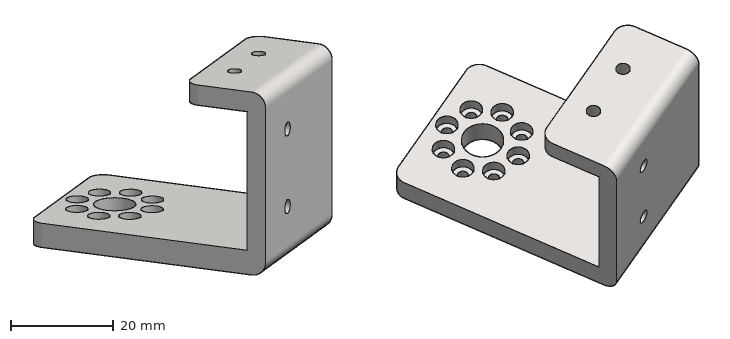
import cadquery as cq

length = 50.5
width = 33.4
height = 37.7

base_thickness = 5.0
wall_thickness = 4.0
flange_thickness = 4.2
flange_length = 17.25
corner_radius = 3.0
bend_radius = 3.0

ring_x = 11.25
opening_diameter = 8.3
ring_radius = 8.0
ring_hole_count = 8
ring_hole_diameter = 2.2
counterbore_diameter = 4.4
counterbore_depth = 2.3

screw_diameter = 2.8
flange_hole_x = 39.25
flange_hole_ys = (6.3, -5.7)
wall_hole_y = -5.7
wall_hole_zs = (11.2, 27.2)

wall_inner_x = length - wall_thickness
flange_bottom_z = height - flange_thickness
flange_start_x = length - flange_length


def make_bracket():
    """C-shaped profile extruded across the width, centred on Y = 0."""
    profile = [
        (0, 0),
        (length, 0),
        (length, height),
        (flange_start_x, height),
        (flange_start_x, flange_bottom_z),
        (wall_inner_x, flange_bottom_z),
        (wall_inner_x, base_thickness),
        (0, base_thickness),
    ]
    body = cq.Workplane("XZ").polyline(profile).close().extrude(width / 2, both=True)
    body = body.edges("|Y and >X").fillet(bend_radius)
    free_corners = cq.selectors.BoxSelector(
        (-length, -width, -height),
        (flange_start_x + corner_radius, width, height),
    )
    return body.edges("|Z").edges(free_corners).fillet(corner_radius)


def base_cutters():
    """Central opening and its ring of holes, counterbored from above."""
    base = cq.Workplane("XY").center(ring_x, 0)
    opening = base.circle(opening_diameter / 2).extrude(base_thickness)
    ring = base.polarArray(ring_radius, 0, 360, ring_hole_count)
    holes = ring.circle(ring_hole_diameter / 2).extrude(base_thickness)
    counterbores = (
        base.workplane(offset=base_thickness - counterbore_depth)
        .polarArray(ring_radius, 0, 360, ring_hole_count)
        .circle(counterbore_diameter / 2)
        .extrude(counterbore_depth)
    )
    return opening.union(holes).union(counterbores)


def flange_cutters():
    """Vertical screw holes through the top flange."""
    return (
        cq.Workplane("XY", origin=(0, 0, flange_bottom_z))
        .pushPoints([(flange_hole_x, y) for y in flange_hole_ys])
        .circle(screw_diameter / 2)
        .extrude(flange_thickness)
    )


def wall_cutters():
    """Horizontal screw holes through the upright wall."""
    return (
        cq.Workplane("YZ", origin=(wall_inner_x, 0, 0))
        .pushPoints([(wall_hole_y, z) for z in wall_hole_zs])
        .circle(screw_diameter / 2)
        .extrude(wall_thickness)
    )


result = make_bracket().cut(base_cutters()).cut(flange_cutters()).cut(wall_cutters())